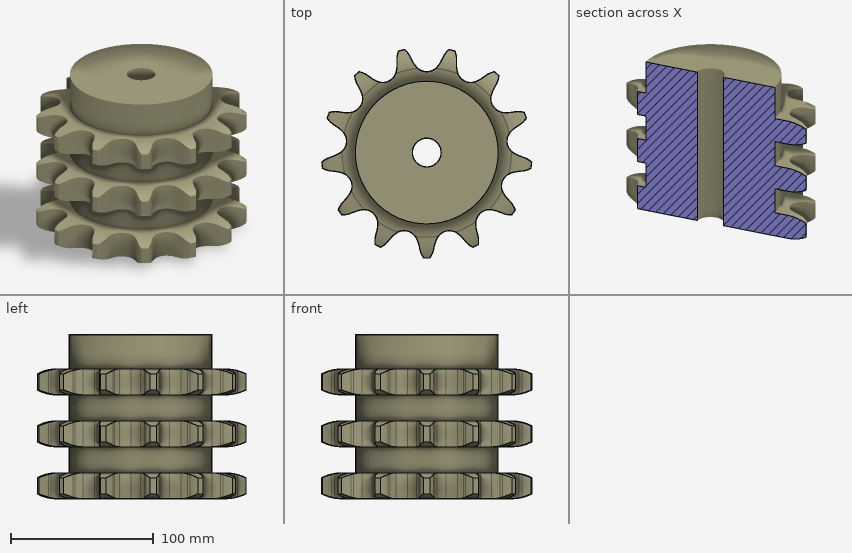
import cadquery as cq
import math


TOOTH_COUNT = 13
CHAIN_PITCH = 31.75
ROLLER_DIAMETER = 19.05
STRAND_COUNT = 3
STRAND_SPACING = 36.4
PLATE_THICKNESS = 18.2
TIP_DIAMETER = 147.8
HUB_DIAMETER = 100.0
BORE_DIAMETER = 20.0
TOTAL_HEIGHT = 115.0

SIDE_ROUND_RADIUS = 32.0
SIDE_ROUND_DEPTH = 3.5

FIRST_TOOTH_ANGLE = -90.0

MM_PER_INCH = 25.4
FORM_ALLOWANCE = 0.0015 * MM_PER_INCH
TOOTH_STEP = 360.0 / TOOTH_COUNT
HALF_STEP = math.radians(TOOTH_STEP / 2)
TIP_RADIUS = TIP_DIAMETER / 2
PITCH_RADIUS = CHAIN_PITCH / (2 * math.sin(HALF_STEP))
SEAT_RADIUS = 0.5025 * ROLLER_DIAMETER + FORM_ALLOWANCE
SEAT_END_ANGLE = math.radians(35 + 60 / TOOTH_COUNT)
WORKING_RADIUS = 1.3025 * ROLLER_DIAMETER + FORM_ALLOWANCE
WORKING_SWEEP = math.radians(18 - 56 / TOOTH_COUNT)
PRESSURE_ANGLE = math.radians(17 - 64 / TOOTH_COUNT)
FLANK_LENGTH = ROLLER_DIAMETER * (1.4 * math.sin(PRESSURE_ANGLE) - 0.8 * math.sin(WORKING_SWEEP))
TOPPING_RADIUS = ROLLER_DIAMETER * (
    0.8 * math.cos(WORKING_SWEEP) + 1.4 * math.cos(PRESSURE_ANGLE) - 1.3025
) - FORM_ALLOWANCE


def offset(point, distance, angle):
    """Point at a distance from another, in the direction of an angle from +X (radians)."""
    return (point[0] + distance * math.cos(angle), point[1] + distance * math.sin(angle))


def half_tooth_points():
    """Right half of a tooth that points along +Y, from the gap bottom to the tip.

    Returns seat bottom, seat middle, seat end, working middle, working end,
    flank end, topping middle and tip corner.
    """
    gap_direction = math.pi / 2 - HALF_STEP
    seat_center = offset((0, 0), PITCH_RADIUS, gap_direction)

    bottom_angle = gap_direction + math.pi
    seat_end_angle = bottom_angle - (math.pi / 2 - SEAT_END_ANGLE)
    seat_bottom = offset(seat_center, SEAT_RADIUS, bottom_angle)
    seat_middle = offset(seat_center, SEAT_RADIUS, (bottom_angle + seat_end_angle) / 2)
    seat_end = offset(seat_center, SEAT_RADIUS, seat_end_angle)

    working_center = offset(seat_end, -WORKING_RADIUS, seat_end_angle)
    working_end_angle = seat_end_angle - WORKING_SWEEP
    working_middle = offset(working_center, WORKING_RADIUS, (seat_end_angle + working_end_angle) / 2)
    working_end = offset(working_center, WORKING_RADIUS, working_end_angle)

    flank_end = offset(working_end, FLANK_LENGTH, working_end_angle - math.pi / 2)

    topping_center = offset(flank_end, TOPPING_RADIUS, working_end_angle)
    topping_start_angle = working_end_angle - math.pi
    center_distance = math.hypot(*topping_center)
    cos_corner = (TOPPING_RADIUS**2 + center_distance**2 - TIP_RADIUS**2) / (
        2 * TOPPING_RADIUS * center_distance
    )
    inward_angle = math.atan2(-topping_center[1], -topping_center[0])
    topping_end_angle = inward_angle + math.acos(cos_corner)
    topping_middle = offset(topping_center, TOPPING_RADIUS, (topping_start_angle + topping_end_angle) / 2)
    tip_corner = offset(topping_center, TOPPING_RADIUS, topping_end_angle)

    return (seat_bottom, seat_middle, seat_end, working_middle, working_end,
            flank_end, topping_middle, tip_corner)


def turned(point, angle):
    """Point turned about the origin by an angle in radians."""
    x, y = point
    return (x * math.cos(angle) - y * math.sin(angle), x * math.sin(angle) + y * math.cos(angle))


def mirrored(point):
    """Point on the other half of the tooth."""
    return (-point[0], point[1])


def toothed_blank():
    """Flat plate with the full tooth outline, its bottom face at Z = 0.

    The two arcs that meet at each gap bottom stay separate faces.
    """
    right_half = half_tooth_points()
    left_half = [mirrored(point) for point in right_half]
    tip_middle = (0, TIP_RADIUS)

    outline = None
    for tooth in range(TOOTH_COUNT):
        turn = math.radians(FIRST_TOOTH_ANGLE + tooth * TOOTH_STEP) - math.pi / 2
        (seat_bottom, seat_middle, seat_end, working_middle, working_end,
         flank_end, topping_middle, tip_corner) = [turned(point, turn) for point in right_half]
        (left_bottom, left_seat_middle, left_seat_end, left_working_middle, left_working_end,
         left_flank_end, left_topping_middle, left_tip_corner) = [turned(point, turn) for point in left_half]

        if outline is None:
            outline = cq.Workplane("XY").moveTo(*seat_bottom)
        outline = (
            outline.threePointArc(seat_middle, seat_end)
            .threePointArc(working_middle, working_end)
            .lineTo(*flank_end)
            .threePointArc(topping_middle, tip_corner)
            .threePointArc(turned(tip_middle, turn), left_tip_corner)
            .threePointArc(left_topping_middle, left_flank_end)
            .lineTo(*left_working_end)
            .threePointArc(left_working_middle, left_seat_end)
            .threePointArc(left_seat_middle, left_bottom)
        )
    return outline.close().extrude(PLATE_THICKNESS, clean=False)


def side_round_envelope():
    """Turned disc whose two faces curve inwards, tangent to the flat, towards the tips."""
    round_end_rise = SIDE_ROUND_RADIUS - SIDE_ROUND_DEPTH
    round_width = math.sqrt(SIDE_ROUND_RADIUS**2 - round_end_rise**2)
    flat_radius = TIP_RADIUS - round_width
    half_sweep = math.asin(round_width / SIDE_ROUND_RADIUS) / 2
    middle_radius = flat_radius + SIDE_ROUND_RADIUS * math.sin(half_sweep)
    middle_depth = SIDE_ROUND_RADIUS * (1 - math.cos(half_sweep))
    return (
        cq.Workplane("XZ")
        .lineTo(flat_radius, 0)
        .threePointArc((middle_radius, middle_depth), (TIP_RADIUS, SIDE_ROUND_DEPTH))
        .lineTo(TIP_RADIUS, PLATE_THICKNESS - SIDE_ROUND_DEPTH)
        .threePointArc(
            (middle_radius, PLATE_THICKNESS - middle_depth), (flat_radius, PLATE_THICKNESS)
        )
        .lineTo(0, PLATE_THICKNESS)
        .close()
        .revolve(360, (0, 0), (0, 1))
    )


def sprocket():
    """Hub with the toothed plates stacked from the bottom face up, and the bore through it all."""
    plate = toothed_blank().intersect(side_round_envelope(), clean=False)
    hub_start = PLATE_THICKNESS / 2
    body = (
        cq.Workplane("XY", origin=(0, 0, hub_start))
        .circle(HUB_DIAMETER / 2)
        .extrude(TOTAL_HEIGHT - hub_start)
    )
    for strand in range(STRAND_COUNT):
        body = body.union(plate.translate((0, 0, strand * STRAND_SPACING)), clean=False)
    bore = cq.Workplane("XY").circle(BORE_DIAMETER / 2).extrude(TOTAL_HEIGHT)
    return body.cut(bore, clean=False)


result = sprocket()